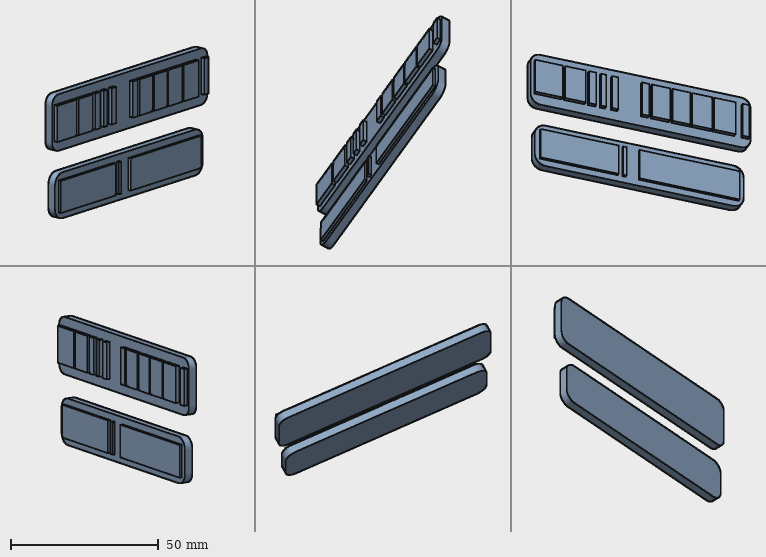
import cadquery as cq

plate_thickness = 3.0
plate_gap = 8.0

upper_length = 80.0
upper_height = 20.0
upper_corner_radius = 3.5
upper_center_y = 0.0
upper_center_z = upper_height / 2

lower_length = 76.0
lower_height = 16.2
lower_corner_radius = 4.0
lower_center_y = -0.5
lower_center_z = -plate_gap - lower_height / 2

upper_pad_rise = 1.4
upper_pad_height = 12.8
upper_pad_center_z = upper_center_z + 0.2
upper_pad_spans = [
    (-38.8, -28.9),
    (-27.9, -20.5),
    (-19.3, -16.6),
    (-15.0, -13.0),
    (-10.9, -8.6),
    (0.0, 2.6),
    (3.6, 10.2),
    (11.1, 17.6),
    (18.3, 25.5),
    (26.2, 34.0),
    (36.6, 39.0),
]

lower_pad_rise = 1.0
lower_pad_height = 11.4
lower_pad_spans = [
    (-36.6, -8.4),
    (-6.7, -5.5),
    (-0.7, 35.7),
]


def make_plate(length, height, corner_radius, center_y, center_z):
    """Flat plate with rounded corners and its back face on X = 0."""
    plate = cq.Workplane("YZ").center(center_y, center_z).rect(length, height).extrude(plate_thickness)
    return plate.edges("|X").fillet(corner_radius)


def add_pads(plate, spans, rise, height, center_z):
    """Join a row of plain rectangular pads to the +X face of a plate."""
    for start, end in spans:
        pad = (
            cq.Workplane("YZ", origin=(plate_thickness, (start + end) / 2, center_z))
            .rect(end - start, height)
            .extrude(rise)
        )
        plate = plate.union(pad)
    return plate


upper_blank = make_plate(upper_length, upper_height, upper_corner_radius, upper_center_y, upper_center_z)
upper_plate = add_pads(
    upper_blank, upper_pad_spans, upper_pad_rise, upper_pad_height, upper_pad_center_z
)

lower_blank = make_plate(lower_length, lower_height, lower_corner_radius, lower_center_y, lower_center_z)
lower_plate = add_pads(
    lower_blank, lower_pad_spans, lower_pad_rise, lower_pad_height, lower_center_z
)

result = cq.Compound.makeCompound([upper_plate.solids().val(), lower_plate.solids().val()])